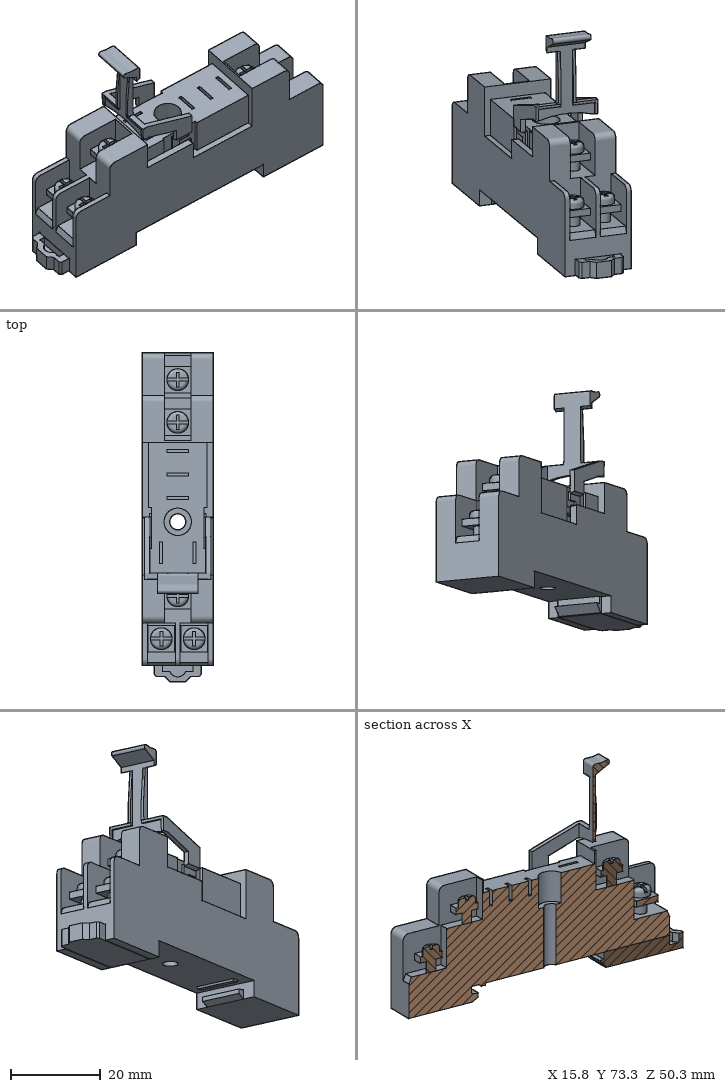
import cadquery as cq
import math


WIDTH = 15.8
LENGTH = 69.7
LOWER_TOP = 19.5
UPPER_TOP = 28.95
TIER_DEPTH = 9.5
EDGE_RADIUS = 1.5
VALLEY_FRONT = 20.15
VALLEY_REAR = 49.7
SEAT_TOP = 25.9

REAR_LEDGE_TOP = 17.45
FRONT_LEDGE_TOP = 21.9
LEDGE_STEP = 33.1
LEDGE_CHAMFER = 0.2
SEAT_HALF_REAR = 6.5
SEAT_HALF_NECK = 5.9
SEAT_HALF_FRONT = 6.3
NECK_FRONT = 26.1
NECK_REAR = 35.2

RAIL_FRONT = 17.0
RAIL_REAR = 52.85
RAIL_HEIGHT = 3.8
FOOT_SLOT_WIDTH = 11.0
HOOK_HALF = 5.0
HOOK_REACH = 1.75
HOOK_TOP = 2.2
HOOK_TIP_TOP = 1.9
HOOK_TIP_BOTTOM = 0.9
RIB_REAR = 50.95
RIB_FRONT = 49.05
RIB_DEPTH = 0.5
RIB_REAR_SLOPE = 0.65
RIB_FRONT_SLOPE = 0.15

BLADE_LENGTH = 4.8
BLADE_WIDTH = 0.65
BLADE_DEPTH = 3.7
CROSS_BLADE_Y = 37.4
CROSS_BLADE_PITCH = 5.2
CROSS_BLADE_COUNT = 3
SIDE_BLADE_X = 3.75
SIDE_BLADE_Y = 25.15
MOUNT_Y = 32.0
MOUNT_DIAMETER = 3.5
MOUNT_BORE = 6.1
MOUNT_BORE_DEPTH = 7.3

CLAMP_SIZE = 5.95
CLAMP_BOTTOM = 2.7
CLAMP_TOP = 4.3
SCREW_TOP = 6.3
SCREW_RADIUS = 2.4
SCREW_ROUND = 0.9
SHANK_RADIUS = 1.55
DRIVE_WIDTH = 0.65
DRIVE_DEPTH = 0.9
CROSS_DRIVE_LENGTH = 3.2
LOWER_FLOOR = 10.0
UPPER_FLOOR = LOWER_FLOOR + 9.5
OUTER_SCREW = 6.0
INNER_SCREW = 15.55
FRONT_PAIR_X = 3.7
FRONT_POCKET_WIDTH = 6.2
POCKET_BACK_GAP = 1.1
LIP_LENGTH = 0.65
LIP_DROP = 1.55

ARM_OUTER = 7.4
ARM_INNER = 6.2
ARM_REAR = LEDGE_STEP
ARM_FRONT = 28.7
ARM_BOTTOM = 24.55
ARM_BEVEL = 0.45
ARM_REAR_TOP = 29.8
ARM_ELBOW_Z = 27.85
ARM_SLOPE_END = 21.05
LEG_FRONT = 28.5
LEG_NOTCH_FRONT = 30.5
LEG_NOTCH_TOP = 23.1
FOOT_REAR = 33.9
FOOT_TOP = 21.5
FOOT_BOTTOM = 19.4
FOOT_CHAMFER = 0.65
BAR_BACK = 20.6
BAR_TOP = 33.8
BAR_BOTTOM = 30.35
BAR_FRONT_TOP = 19.2
BAR_FRONT_BOTTOM = 19.4
PANEL_Y = 19.7
ARCH_RISE = 0.9
STEM_HALF = 2.1
STEM_FRONT = 19.05
STEM_BEND = 38.6
STEM_TOP_FRONT = 19.65
STEM_FOOT_WIDTH = 0.15
STEM_FOOT_HEIGHT = 0.7
RAIL_WIDTH = 0.65
HEAD_HALF = 4.55
HEAD_BOTTOM = 46.0
HEAD_BACK_BOTTOM = 46.55
HEAD_TOP = 50.0
HEAD_BACK_RADIUS = 0.65
HEAD_SLOPE_START = 18.0
HEAD_TIP = 16.05
HEAD_TIP_RADIUS = 0.65
HEAD_NECK_TOP = 47.35
RETAINER_TOP = 50.3

CLIP_HALF = 5.3
CLIP_FRONT = -3.6
CLIP_SHOULDER = -2.4
CLIP_CHAMFER = 0.5
CLIP_END = 17.7
NOSE_HALF = 1.75
NOSE_ROOT_HALF = 2.9
GRIP_HALF = 3.45
GRIP_STEP = -1.3
GRIP_DEPTH = 2.2
GRIP_FRONT = -2.5
TOOTH_REACH = 1.25
TOOTH_BASE = 0.2


def box(x0, x1, y0, y1, z0, z1):
    return cq.Workplane("XY").box(x1 - x0, y1 - y0, z1 - z0, centered=False).translate((x0, y0, z0))


def side_plate(points, x0, x1):
    """Extrude a (Y, Z) outline from x0 to x1."""
    return cq.Workplane("YZ").polyline(points).close().extrude(x1 - x0).translate((x0, 0, 0))


def both_sides(shape):
    return shape.union(shape.mirror("YZ"))


def housing_body():
    outline = [
        (0, 0), (0, LOWER_TOP), (TIER_DEPTH, LOWER_TOP), (TIER_DEPTH, UPPER_TOP),
        (VALLEY_FRONT, UPPER_TOP), (VALLEY_FRONT, SEAT_TOP), (VALLEY_REAR, SEAT_TOP),
        (VALLEY_REAR, UPPER_TOP), (LENGTH - TIER_DEPTH, UPPER_TOP),
        (LENGTH - TIER_DEPTH, LOWER_TOP), (LENGTH, LOWER_TOP), (LENGTH, 0),
        (RAIL_REAR, 0), (RAIL_REAR, RAIL_HEIGHT), (RAIL_FRONT, RAIL_HEIGHT), (RAIL_FRONT, 0),
    ]
    body = side_plate(outline, -WIDTH / 2, WIDTH / 2)
    for y, z in [(0, LOWER_TOP), (TIER_DEPTH, UPPER_TOP),
                 (LENGTH - TIER_DEPTH, UPPER_TOP), (LENGTH, LOWER_TOP)]:
        body = body.edges(cq.selectors.NearestToPointSelector((0, y, z))).fillet(EDGE_RADIUS)
    return body


def side_ledges():
    """Material removed beside the relay seat, on both sides."""
    edge = WIDTH / 2
    rear = box(SEAT_HALF_REAR, edge, NECK_REAR, VALLEY_REAR, REAR_LEDGE_TOP, SEAT_TOP)
    neck = box(SEAT_HALF_NECK, edge, LEDGE_STEP, NECK_REAR, REAR_LEDGE_TOP, SEAT_TOP)
    front = box(SEAT_HALF_FRONT, edge, VALLEY_FRONT, LEDGE_STEP, FRONT_LEDGE_TOP, SEAT_TOP)
    leg_slot = box(SEAT_HALF_NECK, SEAT_HALF_FRONT, NECK_FRONT, LEDGE_STEP, REAR_LEDGE_TOP, SEAT_TOP)
    corner = side_plate(
        [(LEDGE_STEP, FRONT_LEDGE_TOP), (LEDGE_STEP - LEDGE_CHAMFER, FRONT_LEDGE_TOP),
         (LEDGE_STEP, FRONT_LEDGE_TOP - LEDGE_CHAMFER)],
        SEAT_HALF_FRONT, edge)
    return both_sides(rear.union(neck).union(front).union(leg_slot).union(corner))


def lower_pocket(x, width, back):
    """Pocket open to the front, with a sloping lip at its mouth."""
    outline = [
        (0, UPPER_TOP), (0, LOWER_FLOOR - LIP_DROP), (LIP_LENGTH, LOWER_FLOOR),
        (back, LOWER_FLOOR), (back, UPPER_TOP),
    ]
    return side_plate(outline, x - width / 2, x + width / 2)


def terminal_pockets():
    half = CLAMP_SIZE / 2
    inner_back = INNER_SCREW + half + POCKET_BACK_GAP
    outer_back = OUTER_SCREW + half + POCKET_BACK_GAP
    upper = box(-half, half, 0, inner_back, UPPER_FLOOR, UPPER_TOP)
    rear = upper.union(lower_pocket(0, CLAMP_SIZE, outer_back)).mirror("XZ").translate((0, LENGTH, 0))
    front = box(-half, half, TIER_DEPTH, inner_back, UPPER_FLOOR, UPPER_TOP)
    for x in (-FRONT_PAIR_X, FRONT_PAIR_X):
        front = front.union(lower_pocket(x, FRONT_POCKET_WIDTH, TIER_DEPTH))
    return rear.union(front)


def seat_holes():
    bottom = SEAT_TOP - BLADE_DEPTH
    cross = [(0, CROSS_BLADE_Y + i * CROSS_BLADE_PITCH) for i in range(CROSS_BLADE_COUNT)]
    sides = [(x, SIDE_BLADE_Y) for x in (-SIDE_BLADE_X, SIDE_BLADE_X)]
    plane = cq.Workplane("XY").workplane(offset=bottom)
    blades = plane.pushPoints(cross).rect(BLADE_LENGTH, BLADE_WIDTH).extrude(BLADE_DEPTH)
    blades = blades.union(plane.pushPoints(sides).rect(BLADE_WIDTH, BLADE_LENGTH).extrude(BLADE_DEPTH))
    mount = cq.Workplane("XY").center(0, MOUNT_Y).circle(MOUNT_DIAMETER / 2).extrude(SEAT_TOP)
    bore = (cq.Workplane("XY").workplane(offset=SEAT_TOP - MOUNT_BORE_DEPTH).center(0, MOUNT_Y)
            .circle(MOUNT_BORE / 2).extrude(MOUNT_BORE_DEPTH))
    return blades.union(mount).union(bore)


def rail_hook():
    """Fixed hook at the rear of the rail recess, and the small rib beside it."""
    tip = RAIL_REAR - HOOK_REACH
    rib_bottom = RAIL_HEIGHT - RIB_DEPTH
    hook = side_plate(
        [(RAIL_REAR, HOOK_TOP), (tip, HOOK_TIP_TOP), (tip, HOOK_TIP_BOTTOM), (RAIL_REAR, 0)],
        -HOOK_HALF, HOOK_HALF)
    rib = side_plate(
        [(RIB_REAR, RAIL_HEIGHT), (RIB_REAR - RIB_REAR_SLOPE, rib_bottom),
         (RIB_FRONT + RIB_FRONT_SLOPE, rib_bottom), (RIB_FRONT, RAIL_HEIGHT)],
        -HOOK_HALF, HOOK_HALF)
    return hook.union(rib)


def make_housing():
    half = FOOT_SLOT_WIDTH / 2
    body = housing_body().cut(side_ledges()).cut(terminal_pockets()).cut(seat_holes())
    body = body.cut(box(-half, half, 0, RAIL_FRONT, 0, RAIL_HEIGHT))
    return body.union(rail_hook())


def make_terminal(x, y, floor):
    """Screw with its captive clamp plate, standing on a pocket floor."""
    shank = cq.Workplane("XY").circle(SHANK_RADIUS).extrude(CLAMP_TOP)
    clamp = (cq.Workplane("XY").workplane(offset=CLAMP_BOTTOM).rect(CLAMP_SIZE, CLAMP_SIZE)
             .extrude(CLAMP_TOP - CLAMP_BOTTOM))
    head = (cq.Workplane("XY").workplane(offset=CLAMP_TOP).circle(SCREW_RADIUS)
            .extrude(SCREW_TOP - CLAMP_TOP).faces(">Z").edges().fillet(SCREW_ROUND))
    drive = cq.Workplane("XY").workplane(offset=SCREW_TOP - DRIVE_DEPTH)
    head = head.cut(drive.rect(2 * SCREW_RADIUS, DRIVE_WIDTH).extrude(DRIVE_DEPTH))
    head = head.cut(drive.rect(DRIVE_WIDTH, CROSS_DRIVE_LENGTH).extrude(DRIVE_DEPTH))
    return shank.union(clamp).union(head).translate((x, y, floor))


def retainer_arm():
    """Arm beside the relay seat and the leg that latches below the ledge."""
    arm = side_plate(
        [(ARM_REAR, ARM_BOTTOM), (ARM_REAR, ARM_REAR_TOP), (BAR_BACK, BAR_TOP), (BAR_FRONT_TOP, BAR_TOP),
         (BAR_FRONT_BOTTOM, BAR_BOTTOM), (ARM_SLOPE_END, BAR_BOTTOM), (ARM_FRONT, ARM_ELBOW_Z),
         (ARM_FRONT, ARM_BOTTOM)],
        ARM_INNER, ARM_OUTER)
    bevel = (cq.Workplane("XZ")
             .polyline([(SEAT_HALF_FRONT, ARM_BOTTOM), (ARM_OUTER, ARM_BOTTOM),
                        (ARM_OUTER, ARM_BOTTOM + ARM_BEVEL)])
             .close().extrude(-LENGTH))
    leg_top = ARM_BOTTOM + ARM_BEVEL
    leg = side_plate(
        [(ARM_REAR, leg_top), (ARM_REAR, LEG_NOTCH_TOP), (LEG_NOTCH_FRONT, LEG_NOTCH_TOP),
         (LEG_NOTCH_FRONT, FOOT_TOP), (FOOT_REAR, FOOT_TOP), (FOOT_REAR, FOOT_BOTTOM + FOOT_CHAMFER),
         (FOOT_REAR - FOOT_CHAMFER, FOOT_BOTTOM), (LEG_FRONT, FOOT_BOTTOM), (LEG_FRONT, leg_top)],
        SEAT_HALF_NECK, SEAT_HALF_FRONT)
    return arm.cut(bevel).union(leg)


def t_plate(inset, stem_foot, top, back):
    """T-shaped plate on an arched lower edge, from the stem front to `back`."""
    bar = ARM_OUTER - inset
    bar_top = BAR_TOP - inset
    stem = STEM_HALF - inset
    right_edge = [
        (bar, BAR_BOTTOM), (bar, bar_top), (stem + stem_foot, bar_top),
        (stem, bar_top + STEM_FOOT_HEIGHT), (stem, top),
    ]
    left_edge = [(-x, z) for x, z in reversed(right_edge)]
    return (cq.Workplane("XZ", origin=(0, STEM_FRONT, 0))
            .moveTo(ARM_INNER, BAR_BOTTOM).polyline(right_edge + left_edge, includeCurrent=True)
            .lineTo(-ARM_INNER, BAR_BOTTOM)
            .threePointArc((0, BAR_BOTTOM + ARCH_RISE), (ARM_INNER, BAR_BOTTOM))
            .close().extrude(STEM_FRONT - back))


def retainer_stem():
    """Cross bar and stem."""
    thickness = side_plate(
        [(BAR_BACK, BAR_BOTTOM), (BAR_BACK, HEAD_BACK_BOTTOM), (PANEL_Y, HEAD_BOTTOM),
         (STEM_TOP_FRONT, HEAD_BOTTOM), (STEM_FRONT, STEM_BEND), (STEM_FRONT, BAR_TOP),
         (BAR_FRONT_TOP, BAR_TOP), (BAR_FRONT_BOTTOM, BAR_BOTTOM)],
        -ARM_OUTER, ARM_OUTER)
    return t_plate(0, STEM_FOOT_WIDTH, HEAD_BACK_BOTTOM, BAR_BACK).intersect(thickness)


def retainer_head():
    """Finger tab across the top of the stem."""
    tip_z = RETAINER_TOP - HEAD_TIP_RADIUS
    tip_y = HEAD_TIP + HEAD_TIP_RADIUS
    diagonal = HEAD_TIP_RADIUS * math.sqrt(0.5)
    back_diagonal = HEAD_BACK_RADIUS * (1 - math.sqrt(0.5))
    return (cq.Workplane("YZ")
            .moveTo(BAR_BACK, HEAD_BACK_BOTTOM).lineTo(BAR_BACK, HEAD_TOP - HEAD_BACK_RADIUS)
            .threePointArc((BAR_BACK - back_diagonal, HEAD_TOP - back_diagonal),
                           (BAR_BACK - HEAD_BACK_RADIUS, HEAD_TOP))
            .lineTo(HEAD_SLOPE_START, HEAD_TOP).lineTo(tip_y, RETAINER_TOP)
            .threePointArc((HEAD_TIP, tip_z), (tip_y - diagonal, tip_z - diagonal))
            .lineTo(PANEL_Y, HEAD_NECK_TOP).lineTo(PANEL_Y, HEAD_BOTTOM).close()
            .extrude(HEAD_HALF, both=True))


def make_retainer():
    body = both_sides(retainer_arm()).union(retainer_stem()).union(retainer_head())
    panel_recess = t_plate(RAIL_WIDTH, 0, HEAD_BOTTOM, PANEL_Y)
    return body.cut(panel_recess)


def make_rail_clip():
    shoulder = CLIP_SHOULDER + CLIP_CHAMFER
    right_edge = [(CLIP_HALF, CLIP_END), (CLIP_HALF, shoulder), (CLIP_HALF - CLIP_CHAMFER, CLIP_SHOULDER),
                  (NOSE_ROOT_HALF, CLIP_SHOULDER), (NOSE_HALF, CLIP_FRONT)]
    left_edge = [(-x, y) for x, y in reversed(right_edge)]
    slide = cq.Workplane("XY").polyline(right_edge + left_edge).close().extrude(RAIL_HEIGHT)
    grip = (cq.Workplane("XY").workplane(offset=RAIL_HEIGHT - GRIP_DEPTH)
            .moveTo(-GRIP_HALF, 0).lineTo(-GRIP_HALF, GRIP_STEP).lineTo(-NOSE_HALF, GRIP_STEP)
            .threePointArc((0, GRIP_FRONT), (NOSE_HALF, GRIP_STEP)).lineTo(GRIP_HALF, GRIP_STEP)
            .lineTo(GRIP_HALF, 0).close().extrude(GRIP_DEPTH))
    tooth = side_plate(
        [(RAIL_FRONT, HOOK_TOP), (CLIP_END + TOOTH_REACH, HOOK_TOP), (RAIL_FRONT, TOOTH_BASE)],
        -CLIP_HALF, CLIP_HALF)
    below_tooth = box(-CLIP_HALF, CLIP_HALF, RAIL_FRONT, CLIP_END, 0, HOOK_TOP)
    return slide.cut(grip).cut(below_tooth).union(tooth)


housing = make_housing()
retainer = make_retainer()
rail_clip = make_rail_clip()
terminal_places = [
    (-FRONT_PAIR_X, OUTER_SCREW, LOWER_FLOOR),
    (FRONT_PAIR_X, OUTER_SCREW, LOWER_FLOOR),
    (0, INNER_SCREW, UPPER_FLOOR),
    (0, LENGTH - INNER_SCREW, UPPER_FLOOR),
    (0, LENGTH - OUTER_SCREW, LOWER_FLOOR),
]
terminals = [make_terminal(*place).solids().val() for place in terminal_places]

result = cq.Compound.makeCompound([
    housing.solids().val(),
    retainer.solids().val(),
    rail_clip.solids().val(),
    *terminals,
])